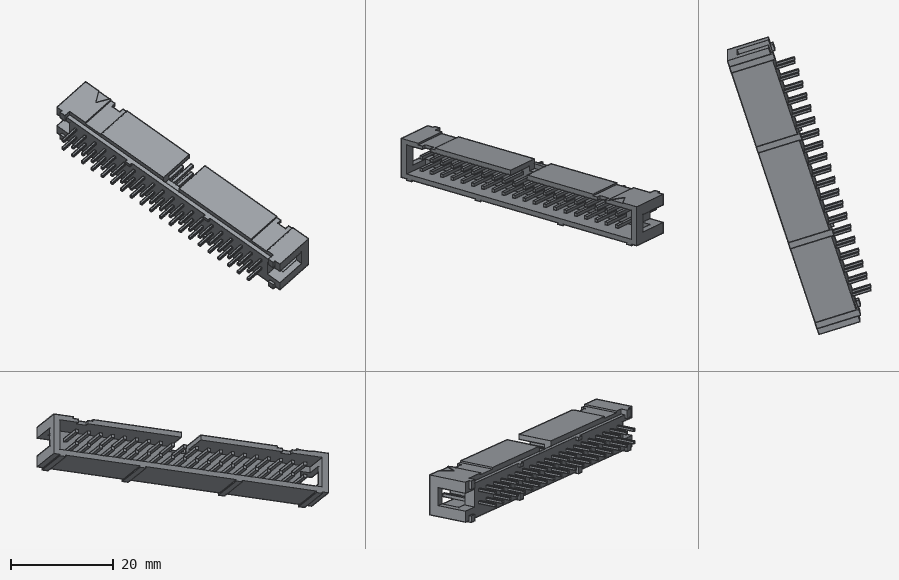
import cadquery as cq

body_length = 58.1
body_depth = 8.4
body_height = 8.2
wall = 1.05
end_wall = 1.35
cavity_depth = 6.0
mouth_y = body_depth / 2
base_y = -mouth_y
cavity_floor_y = mouth_y - cavity_depth
half_length = body_length / 2
inner_half_length = half_length - end_wall
cut_margin = 0.6

window_height = 3.65
window_bar = 2.05
window_length = 3.25
floor_end_chamfer = 0.2

rebate_half_length = 26.5
rebate_width = 0.9
rebate_depth = wall

key_width = 4.05
key_depth = 2.05
recess_centers = (-20.35, 22.85)
recess_width = 4.1
recess_depth = 0.35
latch_width = 2.05
latch_length = 0.95

mark_center = -24.2
mark_width = 2.9
mark_length = 2.5
mark_depth = 0.1

standoff_centers = (-27.15, -10.2, 10.2, 27.15)
standoff_width = 1.3
standoff_projection = 0.5
standoff_height = 1.05
upper_standoff_drop = 1.75
rib_height = 0.3

pins_per_row = 20
pin_rows = 2
pin_pitch = 2.54
contact_size = 0.65
tail_size = 0.6
tail_edge_chamfer = 0.09
pin_length = 12.2


def block(x_range, y_range, z_range):
    """Box spanning the given (low, high) ranges."""
    (x0, x1), (y0, y1), (z0, z1) = x_range, y_range, z_range
    return cq.Workplane("XY").box(x1 - x0, y1 - y0, z1 - z0, centered=False).translate((x0, y0, z0))


def around(center, width):
    """Range of the given width about a center."""
    return (center - width / 2, center + width / 2)


def make_shroud():
    past_mouth = mouth_y + cut_margin
    past_top = body_height + cut_margin
    shroud = block(around(0, body_length), (base_y, mouth_y), (0, body_height))
    shroud = shroud.cut(
        block(around(0, 2 * inner_half_length), (cavity_floor_y, past_mouth), (wall, body_height - wall))
    )
    window_z = around(body_height / 2, window_height)
    window_y = (base_y - cut_margin, mouth_y - window_bar)
    window_inner_x = half_length - window_length
    for window_x in ((-half_length, -window_inner_x), (window_inner_x, half_length)):
        shroud = shroud.cut(block(window_x, window_y, window_z))
    shroud = shroud.cut(
        block(
            around(0, 2 * rebate_half_length),
            (base_y - cut_margin, base_y + rebate_width),
            (body_height - rebate_depth, past_top),
        )
    )
    shroud = shroud.cut(
        block(around(0, key_width), (base_y + rebate_width, past_mouth), (body_height - key_depth, past_top))
    )
    for center in recess_centers:
        shroud = shroud.cut(
            block(around(center, recess_width), (base_y, past_mouth), (body_height - recess_depth, past_top))
        )
        shroud = shroud.cut(
            block(
                around(center, latch_width),
                (mouth_y - latch_length, past_mouth),
                (body_height - wall, past_top),
            )
        )
    end_chamfer = (
        cq.Workplane("XY", origin=(0, cavity_floor_y, window_z[0]))
        .moveTo(window_inner_x, 0)
        .lineTo(window_inner_x - floor_end_chamfer, 0)
        .lineTo(window_inner_x, -floor_end_chamfer)
        .close()
        .extrude(window_height)
    )
    return shroud.cut(end_chamfer).cut(end_chamfer.mirror("YZ"))


def make_pin_one_mark():
    return (
        cq.Workplane("XY", origin=(mark_center, mouth_y, body_height - mark_depth))
        .polyline([(-mark_width / 2, 0), (mark_width / 2, 0), (0, -mark_length)])
        .close()
        .extrude(mark_depth)
    )


def add_standoffs(shroud):
    standoff_y = (base_y - standoff_projection, base_y)
    outer_center = max(standoff_centers)
    for center in standoff_centers:
        standoff_x = around(center, standoff_width)
        is_corner = abs(center) == outer_center
        upper_top = body_height if is_corner else body_height - rebate_depth
        shroud = shroud.union(block(standoff_x, standoff_y, (body_height - upper_standoff_drop, upper_top)))
        shroud = shroud.union(block(standoff_x, standoff_y, (-rib_height, standoff_height)))
        shroud = shroud.union(block(standoff_x, (base_y, mouth_y), (-rib_height, 0)))
    return shroud


def make_pins(size, start_y, end_y):
    """Square bars of the whole pin grid, running from start_y down to end_y."""
    return (
        cq.Workplane("XZ", origin=(0, start_y, body_height / 2))
        .rarray(pin_pitch, pin_pitch, pins_per_row, pin_rows)
        .rect(size, size)
        .extrude(start_y - end_y)
    )


header = make_shroud().cut(make_pin_one_mark())
header = add_standoffs(header)
contacts = make_pins(contact_size, mouth_y, base_y)
solder_tails = make_pins(tail_size, base_y, mouth_y - pin_length).edges("|Y").chamfer(tail_edge_chamfer)
result = header.union(contacts).union(solder_tails)